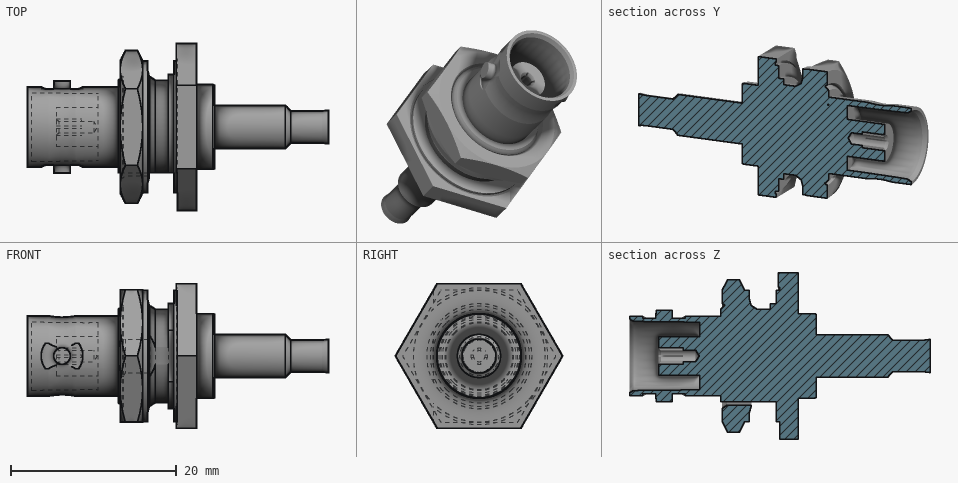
import cadquery as cq
import math


barrel_radius = 4.85
mouth_radius = 4.45
mouth_chamfer = 0.5
socket_radius = 4.15
socket_end_radius = 4.05
socket_depth = 8.5
neck_start = 2.54
neck_end = 5.85
neck_radius = 4.7
stud_x = (neck_start + neck_end) / 2
stud_radius = 1.0
stud_reach = 5.57
pad_radius = 2.52
pad_height = 4.6

insulator_radius = 2.36
insulator_face = 3.5
contact_mouth_radius = 0.97
contact_bore_radius = 0.68
contact_countersink = 0.3
contact_bore_end = 8.0
slit_width = 0.25
slit_depth = 3.0
drill_half_angle = 59

body_start = 11.0
thread_radius = 6.07
thread_front_chamfer = 0.45
thread_runout_start = 14.8
groove_start = 15.46
groove_radius = 5.65
shoulder_start = 17.02
shoulder_radius = 6.37
flat_y = -5.55

ring_start = 17.7
ring_radius = 7.97
hex_start = 17.98
hex_end = 20.46
hex_width = 17.5
hex_step = 0.15
ring_seat_radius = 8.27

boss_end = 22.63
boss_radius = 5.13
boss_chamfer_length = 0.22
boss_chamfer_depth = 0.08
tail_radius = 2.61
tail_end = 31.18
ferrule_start = 31.82
ferrule_radius = 1.94
flare_start = 35.57
flare_radius = 2.05
total_length = 36.4

nut_start = 11.2
nut_hex_end = 13.95
nut_end = 14.52
nut_width = 16.0
nut_face_radius = 7.95
nut_chamfer_length = 0.65
nut_bore_radius = 5.9
nut_countersink_radius = 6.35
nut_countersink_depth = 0.6
nut_lip_end = 14.75
nut_lip_radius = 6.9


def revolve_x(outline):
    """Revolve an (x, radius) outline about the X axis."""
    return outline.close().revolve(360, (0, 0, 0), (1, 0, 0))


def cylinder_x(start, end, radius):
    return cq.Workplane("YZ").workplane(offset=start).circle(radius).extrude(end - start)


def hexagon_x(start, end, width):
    """Hexagonal prism along X with its corners on the Y axis."""
    corner_diameter = width / math.cos(math.pi / 6)
    return cq.Workplane("YZ").workplane(offset=start).polygon(6, corner_diameter).extrude(end - start)


def side_block(start, end, limit_y):
    """Block that covers everything beyond limit_y on the -Y side."""
    reach = hex_width
    return cq.Workplane("XY").box(end - start, reach, 2 * reach).translate(
        ((start + end) / 2, limit_y - reach / 2, 0)
    )


def make_barrel():
    outline = (
        cq.Workplane("XY")
        .lineTo(0, barrel_radius)
        .lineTo(neck_start, barrel_radius)
        .threePointArc((stud_x, neck_radius), (neck_end, barrel_radius))
        .lineTo(body_start, barrel_radius)
        .lineTo(body_start, 0)
    )
    barrel = revolve_x(outline)
    for side in (1, -1):
        pad_plane = cq.Workplane("XZ", origin=(stud_x, 0, 0)).workplane(offset=side * pad_height)
        barrel = barrel.cut(pad_plane.circle(pad_radius).extrude(side * stud_radius))
    return barrel


def make_studs():
    return (
        cq.Workplane("XZ", origin=(stud_x, 0, 0))
        .circle(stud_radius)
        .extrude(stud_reach, both=True)
    )


def make_body():
    outline = (
        cq.Workplane("XY")
        .moveTo(body_start, 0)
        .lineTo(body_start, groove_radius)
        .lineTo(body_start + thread_front_chamfer, thread_radius)
        .lineTo(thread_runout_start, thread_radius)
        .lineTo(groove_start, groove_radius)
        .lineTo(shoulder_start, groove_radius)
        .lineTo(shoulder_start, shoulder_radius)
        .lineTo(ring_start, shoulder_radius)
        .lineTo(ring_start, 0)
    )
    return revolve_x(outline).cut(side_block(body_start, ring_start, flat_y))


def make_flange():
    flange = hexagon_x(hex_start, hex_end, hex_width)
    flange = flange.cut(side_block(hex_start, hex_start + hex_step, flat_y))
    seat_floor = hex_start + hex_step
    flange = flange.cut(cylinder_x(hex_start, seat_floor, ring_seat_radius))
    return flange.union(cylinder_x(ring_start, seat_floor, ring_radius))


def make_tail():
    outline = (
        cq.Workplane("XY")
        .moveTo(hex_end, 0)
        .lineTo(hex_end, boss_radius)
        .lineTo(boss_end - boss_chamfer_length, boss_radius)
        .lineTo(boss_end, boss_radius - boss_chamfer_depth)
        .lineTo(boss_end, tail_radius)
        .lineTo(tail_end, tail_radius)
        .lineTo(ferrule_start, ferrule_radius)
        .lineTo(flare_start, ferrule_radius)
        .lineTo(total_length, flare_radius)
        .lineTo(total_length, 0)
    )
    return revolve_x(outline)


def make_nut():
    corner_radius = nut_width / math.sqrt(3)
    envelope = revolve_x(
        cq.Workplane("XY")
        .moveTo(nut_start, 0)
        .lineTo(nut_start, nut_face_radius)
        .lineTo(nut_start + nut_chamfer_length, corner_radius)
        .lineTo(nut_hex_end - nut_chamfer_length, corner_radius)
        .lineTo(nut_hex_end, nut_face_radius)
        .lineTo(nut_hex_end, 0)
    )
    nut = hexagon_x(nut_start, nut_hex_end, nut_width).intersect(envelope)
    nut = nut.union(cylinder_x(nut_hex_end, nut_end, ring_radius))
    lip = revolve_x(
        cq.Workplane("XY")
        .moveTo(nut_end, 0)
        .lineTo(nut_end, nut_lip_radius)
        .lineTo(nut_lip_end, thread_radius)
        .lineTo(nut_lip_end, 0)
    )
    bore = revolve_x(
        cq.Workplane("XY")
        .moveTo(nut_start, 0)
        .lineTo(nut_start, nut_countersink_radius)
        .lineTo(nut_start + nut_countersink_depth, nut_bore_radius)
        .lineTo(nut_lip_end, nut_bore_radius)
        .lineTo(nut_lip_end, 0)
    )
    return nut.union(lip).cut(bore)


def make_socket():
    """Annular cavity between the barrel bore and the insulator."""
    cavity = revolve_x(
        cq.Workplane("XY")
        .lineTo(0, mouth_radius)
        .lineTo(mouth_chamfer, socket_radius)
        .lineTo(socket_depth, socket_end_radius)
        .lineTo(socket_depth, 0)
    )
    return cavity.cut(cylinder_x(insulator_face, socket_depth, insulator_radius))


def make_contact_hole():
    """Countersunk, cone-bottomed contact bore with four slits."""
    drill_tip = contact_bore_end + contact_bore_radius / math.tan(math.radians(drill_half_angle))
    hole = revolve_x(
        cq.Workplane("XY")
        .moveTo(insulator_face, 0)
        .lineTo(insulator_face, contact_mouth_radius)
        .lineTo(insulator_face + contact_countersink, contact_bore_radius)
        .lineTo(contact_bore_end, contact_bore_radius)
        .lineTo(drill_tip, 0)
    )
    slit_span = 2 * contact_mouth_radius
    slit_plane = cq.Workplane("YZ").workplane(offset=insulator_face)
    for width, height in ((slit_width, slit_span), (slit_span, slit_width)):
        hole = hole.union(slit_plane.rect(width, height).extrude(slit_depth))
    return hole


result = (
    make_barrel()
    .union(make_studs())
    .union(make_body())
    .union(make_flange())
    .union(make_tail())
    .union(make_nut())
    .cut(make_socket())
    .cut(make_contact_hole())
)